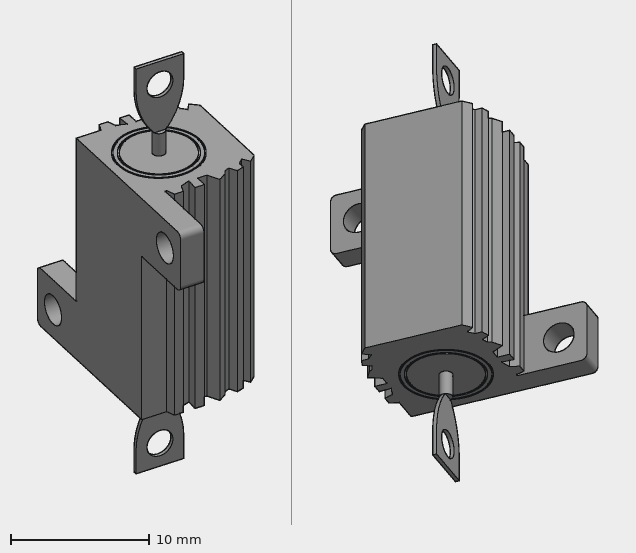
import cadquery as cq


total_length = 34.93
total_width = 20.33
body_length = 19.07
body_height = 9.92

base_half_width = 4.65
fin_half_width = 5.35
root_half_width = 4.35

ear_height = 5.0
ear_thickness = 1.95
ear_corner_radius = 0.5
ear_hole_diameter = 2.4
ear_hole_x = 7.93
ear_hole_z = 7.13

core_y = 4.2
outer_groove_radius = 3.42
outer_groove_width = 0.1
inner_groove_radius = 3.0
inner_groove_width = 0.15
groove_depth = 0.1

wire_diameter = 1.0
lug_length = 6.0
lug_width = 4.0
lug_thickness = 0.3
lug_hole_diameter = 2.15
lug_hole_from_tip = 2.0


def make_body():
    """Extrude the symmetric finned section along the full body length."""
    right_side = [
        (base_half_width, 0),
        (base_half_width, 2.1),
        (fin_half_width, 2.35),
        (fin_half_width, 3.07),
        (4.65, 3.32),
        (root_half_width, 4.12),
        (fin_half_width, 4.05),
        (fin_half_width, 4.85),
        (root_half_width, 4.85),
        (root_half_width, 5.62),
        (fin_half_width, 6.15),
        (4.85, 6.88),
        (4.58, 7.02),
        (root_half_width, 7.48),
        (5.0, 7.82),
        (4.8, 8.45),
        (4.23, 8.45),
        (3.8, 8.87),
        (4.4, 9.3),
        (3.85, body_height),
    ]
    left_side = [(-x, y) for x, y in reversed(right_side)]
    section = cq.Workplane("XY").polyline(right_side + left_side).close()
    return section.extrude(body_length / 2, both=True)


def make_upper_ear():
    """Ear reaching to +X, flush with the top end of the body."""
    ear_length = total_width / 2
    ear = (
        cq.Workplane("XY")
        .box(ear_length, ear_thickness, ear_height, centered=False)
        .translate((0, 0, body_length / 2 - ear_height))
        .edges(">X and |Y")
        .fillet(ear_corner_radius)
    )
    hole = (
        cq.Workplane("XZ")
        .center(ear_hole_x, ear_hole_z)
        .circle(ear_hole_diameter / 2)
        .extrude(-ear_thickness)
    )
    return ear.cut(hole)


def make_upper_groove(outer_radius, width):
    """Ring to be cut from the top end face around the core."""
    return (
        cq.Workplane("XY", origin=(0, core_y, body_length / 2 - groove_depth))
        .circle(outer_radius)
        .circle(outer_radius - width)
        .extrude(groove_depth)
    )


def make_upper_lead():
    """Round wire out of the top end, carrying a flat lug with a tapered neck."""
    tip_z = total_length / 2
    neck_z = tip_z - lug_length
    shoulder_z = tip_z - lug_hole_from_tip
    half_width = lug_width / 2
    half_neck = wire_diameter / 2

    wire = (
        cq.Workplane("XY", origin=(0, core_y, body_length / 2))
        .circle(half_neck)
        .extrude(neck_z - body_length / 2)
    )
    half_lug = (
        cq.Workplane("YZ", origin=(0, core_y, 0))
        .moveTo(0, tip_z)
        .lineTo(half_width, tip_z)
        .lineTo(half_width, shoulder_z)
        .tangentArcPoint((half_neck, neck_z), relative=False)
        .lineTo(0, neck_z)
        .close()
        .extrude(lug_thickness / 2, both=True)
    )
    lug = half_lug.union(half_lug.mirror("XZ", (0, core_y, 0)))
    hole = (
        cq.Workplane("YZ", origin=(0, core_y, shoulder_z))
        .circle(lug_hole_diameter / 2)
        .extrude(lug_thickness / 2, both=True)
    )
    return wire.union(lug).cut(hole)


def at_both_ends(feature):
    """Repeat a top-end feature at the bottom end by a half turn about Y."""
    turned = feature.rotate((0, 0, 0), (0, 1, 0), 180)
    return feature.union(turned)


result = (
    make_body()
    .union(at_both_ends(make_upper_ear()))
    .cut(at_both_ends(make_upper_groove(outer_groove_radius, outer_groove_width)))
    .cut(at_both_ends(make_upper_groove(inner_groove_radius, inner_groove_width)))
    .union(at_both_ends(make_upper_lead()))
)